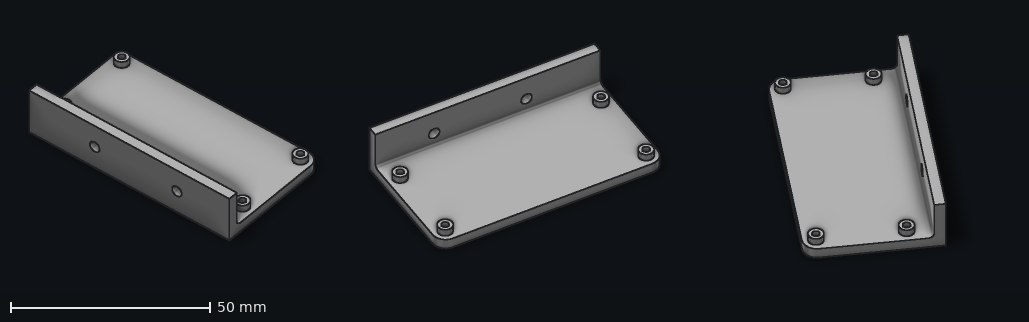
import cadquery as cq

length = 65.0
depth = 36.0
height = 14.0

thickness = 3.0
inner_fillet = 1.5
corner_radius = 3.8

standoff_diameter = 4.0
standoff_bore = 2.0
standoff_height = 2.0
standoff_spacing_x = 58.0
standoff_spacing_y = 23.0
standoff_inset = (length - standoff_spacing_x) / 2

wall_hole_diameter = 3.1
wall_hole_spacing = 26.65
wall_hole_offset = 2.15


def make_bracket():
    """Plate with an upright wall along the front edge, centred on X."""
    plate = cq.Workplane("XY").box(length, depth, thickness, centered=(True, False, False))
    plate = plate.edges("|Z and >Y").fillet(corner_radius)
    wall = cq.Workplane("XY").box(length, thickness, height, centered=(True, False, False))
    inner_corner = cq.selectors.NearestToPointSelector((0, thickness, thickness))
    return plate.union(wall).edges("|X").edges(inner_corner).fillet(inner_fillet)


def standoff_cylinders(diameter, bottom, top):
    """Vertical cylinders at the four standoff positions."""
    center_y = depth - standoff_inset - standoff_spacing_y / 2
    return (
        cq.Workplane("XY", origin=(0, center_y, bottom))
        .rarray(standoff_spacing_x, standoff_spacing_y, 2, 2)
        .circle(diameter / 2)
        .extrude(top - bottom)
    )


def wall_holes():
    """Horizontal cylinders through the wall at mid-height."""
    return (
        cq.Workplane("XZ", origin=(wall_hole_offset, thickness, height / 2))
        .pushPoints([(-wall_hole_spacing / 2, 0), (wall_hole_spacing / 2, 0)])
        .circle(wall_hole_diameter / 2)
        .extrude(thickness)
    )


standoff_top = thickness + standoff_height
standoffs = standoff_cylinders(standoff_diameter, thickness, standoff_top)
bores = standoff_cylinders(standoff_bore, 0, standoff_top)

result = make_bracket().union(standoffs).cut(bores).cut(wall_holes())